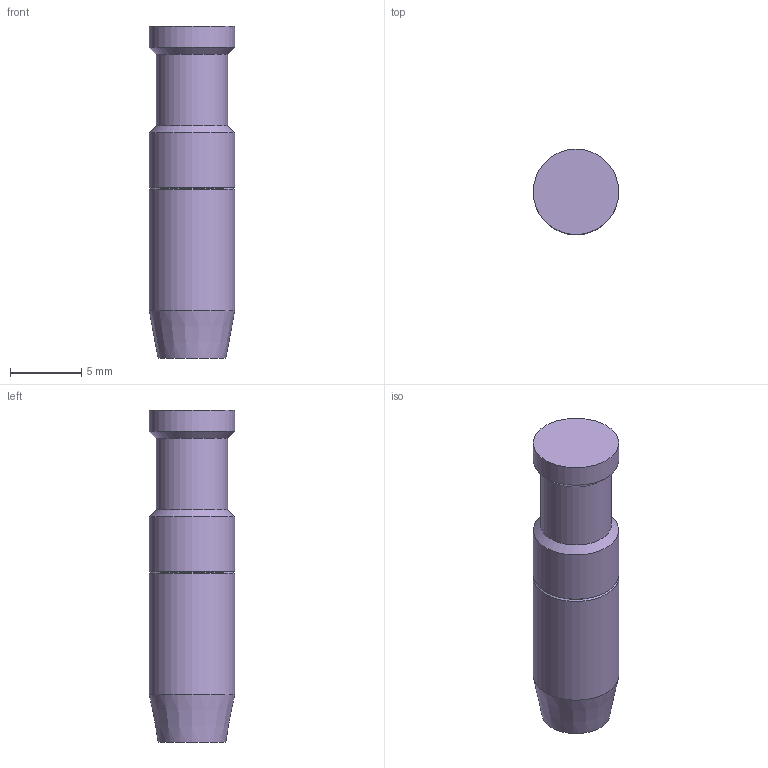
import cadquery as cq

total_length = 23.3
body_radius = 3.0

head_height = 1.5
neck_radius = 2.5
neck_length = 5.0
shoulder_chamfer = body_radius - neck_radius

groove_distance_from_top = 11.3
groove_width = 0.2
groove_root_radius = body_radius - groove_width / 2

taper_length = 3.32
tip_radius = 2.38

head_bottom = total_length - head_height
neck_top = head_bottom - shoulder_chamfer
neck_bottom = neck_top - neck_length
body_top = neck_bottom - shoulder_chamfer
groove_top = total_length - groove_distance_from_top
groove_bottom = groove_top - groove_width
groove_middle = (groove_top + groove_bottom) / 2


def make_pin():
    """Revolve the half profile of the pin about the Z axis."""
    half_profile = (
        cq.Workplane("XZ")
        .moveTo(0, 0)
        .lineTo(tip_radius, 0)
        .lineTo(body_radius, taper_length)
        .lineTo(body_radius, groove_bottom)
        .lineTo(groove_root_radius, groove_middle)
        .lineTo(body_radius, groove_top)
        .lineTo(body_radius, body_top)
        .lineTo(neck_radius, neck_bottom)
        .lineTo(neck_radius, neck_top)
        .lineTo(body_radius, head_bottom)
        .lineTo(body_radius, total_length)
        .lineTo(0, total_length)
        .close()
    )
    return half_profile.revolve(360, (0, 0, 0), (0, 1, 0))


result = make_pin()